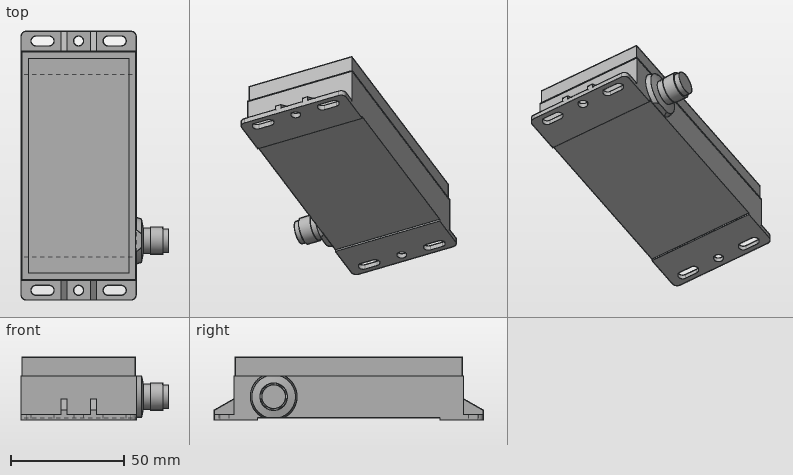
import cadquery as cq

overall_length = 119.0
base_width = 51.0
base_length = 101.5
base_top = 19.5

lid_width = 50.2
lid_length = 100.5
overall_height = 27.8
panel_border = 2.9
panel_recess_depth = 0.1

flange_thickness = 2.5
flange_corner_radius = 2.5
hole_diameter = 4.3
slot_length = 10.1
slot_offset = 16.0
flange_reach = (overall_length - base_length) / 2
hole_row_offset = (base_length + flange_reach) / 2

rib_thickness = 2.6
rib_offset = 6.5
rib_inner_height = 9.4
rib_outer_height = 4.4

foot_length = 19.2
relief_depth = 1.0

connector_y = -33.2
connector_z = 10.4
seat_flat_height = base_top - connector_z
connector_reach = 14.3
seat_base_radius = 10.4
seat_rim_radius = 9.6
seat_rim_reach = 2.3
seat_reach = 3.1
neck_radius = 5.7
neck_reach = 6.2
collar_radius = 6.1
collar_reach = 11.8
tip_radius = 5.2
connector_overlap = 1.2


def box_on(width, length, bottom, top):
    """Box centred on the Z axis between two heights."""
    return cq.Workplane("XY").workplane(offset=bottom).rect(width, length).extrude(top - bottom)


def make_housing():
    flange_plate = box_on(base_width, overall_length, 0, flange_thickness)
    flange_plate = flange_plate.edges("|Z").fillet(flange_corner_radius)
    base = box_on(base_width, base_length, 0, base_top)
    lid = box_on(lid_width, lid_length, base_top, overall_height)
    return flange_plate.union(base).union(lid)


def make_rib(x):
    """Sloping gusset on the +Y flange."""
    return (
        cq.Workplane("YZ", origin=(x, 0, 0))
        .moveTo(base_length / 2, 0)
        .lineTo(overall_length / 2, 0)
        .lineTo(overall_length / 2, rib_outer_height)
        .lineTo(base_length / 2, rib_inner_height)
        .close()
        .extrude(rib_thickness / 2, both=True)
    )


def make_flange_holes():
    """A round hole between two slots on each flange."""
    rows = (-hole_row_offset, hole_row_offset)
    slot_centres = [(x, y) for x in (-slot_offset, slot_offset) for y in rows]
    slots = cq.Workplane("XY").pushPoints(slot_centres).slot2D(slot_length, hole_diameter)
    holes = cq.Workplane("XY").pushPoints([(0, y) for y in rows]).circle(hole_diameter / 2)
    return slots.extrude(flange_thickness).union(holes.extrude(flange_thickness))


def make_underside_relief():
    return box_on(base_width, overall_length - 2 * foot_length, 0, relief_depth)


def make_panel_recess():
    return box_on(
        lid_width - 2 * panel_border,
        lid_length - 2 * panel_border,
        overall_height - panel_recess_depth,
        overall_height,
    )


def make_connector():
    """Stepped round connector whose conical seat is cut flat above and below."""
    profile = [
        (-connector_overlap, 0),
        (-connector_overlap, seat_base_radius),
        (0, seat_base_radius),
        (seat_rim_reach, seat_rim_radius),
        (seat_reach, neck_radius),
        (neck_reach, neck_radius),
        (neck_reach, collar_radius),
        (collar_reach, collar_radius),
        (collar_reach, tip_radius),
        (connector_reach, tip_radius),
        (connector_reach, 0),
    ]
    turned = cq.Workplane("XY").polyline(profile).close().revolve(360, (0, 0, 0), (1, 0, 0))
    turned = turned.translate((base_width / 2, connector_y, connector_z))
    flats = box_on(
        base_width + 2 * connector_reach,
        base_length,
        connector_z - seat_flat_height,
        connector_z + seat_flat_height,
    )
    return turned.intersect(flats)


result = make_housing()
for rib_x in (-rib_offset, rib_offset):
    rib = make_rib(rib_x)
    result = result.union(rib).union(rib.mirror("XZ"))
result = result.cut(make_flange_holes())
result = result.cut(make_underside_relief())
result = result.cut(make_panel_recess())
result = result.union(make_connector())